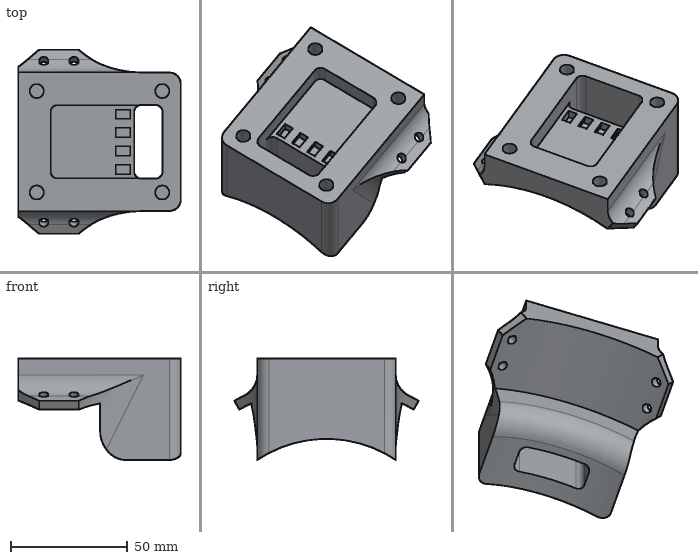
import cadquery as cq
import math

length = 70.0
body_width = 59.6
overall_width = 79.25
half_body = body_width / 2
corner_radius = 5.0

axis_z = -88.1
leg_seat_radius = 53.5
saddle_radius = 76.0
flange_radius = 80.35
flange_angle = math.asin(overall_width / 2 / flange_radius)
flange_fillet = 10.0

leg_front_x = 35.2
leg_front_fillet = 11.1
leg_half_sweep = 40.0

blend_radius = 25.0
blend_start_x = 53.8
blend_slope = math.radians(26.5)

chamfer_length = 9.0
chamfer_start_y = 31.8

flange_hole_diameter = 4.0
flange_hole_xs = (11.0, 24.0)
flange_hole_y = 34.7

pocket_front_x = 13.95
pocket_rear_x = 62.05
pocket_width = 31.55
pocket_depth = 9.0
pocket_corner_radius = 3.0
slot_front_x = 49.9
opening_length = 6.2
opening_width = 4.0
opening_center_x = 45.0
opening_pitch = 7.9
opening_count = 4
tunnel_roof_depth = 2.0
tunnel_floor_depth = 4.0

top_hole_diameter = 6.0
top_hole_xs = (8.0, 62.0)
top_hole_y = 21.8
top_hole_depth = 10.0

overshoot = 118.9
sides = (-1, 1)


def on_circle(radius, angle):
    """Point (y, z) on a circle about the seat axis, angle measured from +Z toward +Y."""
    return radius * math.sin(angle), axis_z + radius * math.cos(angle)


fillet_center_y = half_body + flange_fillet
fillet_center_z = axis_z + math.sqrt((flange_radius + flange_fillet) ** 2 - fillet_center_y**2)


def make_saddle_and_flanges():
    """Y-Z section of the deck with both flanges, extruded along X."""
    contact_angle = math.asin(fillet_center_y / (flange_radius + flange_fillet))
    contact = on_circle(flange_radius, contact_angle)
    mid_turn = (math.pi / 2 - contact_angle) / 2
    fillet_mid = (
        fillet_center_y - flange_fillet * math.cos(mid_turn),
        fillet_center_z - flange_fillet * math.sin(mid_turn),
    )
    outer_mid = on_circle(flange_radius, (contact_angle + flange_angle) / 2)
    tip_top = on_circle(flange_radius, flange_angle)
    tip_bottom = on_circle(saddle_radius, flange_angle)
    saddle_top = on_circle(saddle_radius, 0)

    def mirror(point):
        return -point[0], point[1]

    return (
        cq.Workplane("YZ")
        .moveTo(-half_body, 0)
        .lineTo(half_body, 0)
        .lineTo(half_body, fillet_center_z)
        .threePointArc(fillet_mid, contact)
        .threePointArc(outer_mid, tip_top)
        .lineTo(*tip_bottom)
        .threePointArc(saddle_top, mirror(tip_bottom))
        .lineTo(*mirror(tip_top))
        .threePointArc(mirror(outer_mid), mirror(contact))
        .threePointArc(mirror(fillet_mid), (-half_body, fillet_center_z))
        .close()
        .extrude(length)
    )


def make_leg():
    """Leg section revolved about the seat axis, wide enough to reach past the body sides."""
    top_radius = (saddle_radius + flange_radius) / 2
    plane = cq.Plane(origin=(0, 0, axis_z), xDir=(1, 0, 0), normal=(0, -1, 0))
    arc_center_x = leg_front_x + leg_front_fillet
    arc_center_r = leg_seat_radius + leg_front_fillet
    arc_reach = leg_front_fillet * math.sqrt(0.5)
    sweep = 2 * leg_half_sweep
    return (
        cq.Workplane(plane)
        .moveTo(leg_front_x, top_radius)
        .lineTo(leg_front_x, arc_center_r)
        .threePointArc(
            (arc_center_x - arc_reach, arc_center_r - arc_reach),
            (arc_center_x, leg_seat_radius),
        )
        .lineTo(length, leg_seat_radius)
        .lineTo(length, top_radius)
        .close()
        .revolve(sweep, (0, 0, 0), (1, 0, 0))
        .rotate((0, 0, axis_z), (1, 0, axis_z), -leg_half_sweep)
    )


def make_blend_cutter(side):
    """Space outside the body side and the concave blend, swept along the sloping blend axis."""
    plane = cq.Plane(
        origin=(blend_start_x, side * half_body, fillet_center_z),
        xDir=(-math.cos(blend_slope), 0, math.sin(blend_slope)),
        normal=(side * math.sin(blend_slope), 0, side * math.cos(blend_slope)),
    )
    reach = blend_radius * math.sqrt(0.5)
    return (
        cq.Workplane(plane)
        .moveTo(-overshoot, 0)
        .lineTo(0, 0)
        .threePointArc((reach, reach - blend_radius), (blend_radius, -blend_radius))
        .lineTo(-overshoot, -blend_radius)
        .close()
        .extrude(overshoot, both=True)
    )


def flange_plane(side, y):
    """Plane facing out along the flange tilt, placed on the flange outer surface at the given y."""
    z = axis_z + math.sqrt(flange_radius**2 - y**2)
    return cq.Plane(
        origin=(0, side * y, z),
        xDir=(1, 0, 0),
        normal=(0, side * math.sin(flange_angle), math.cos(flange_angle)),
    )


def make_chamfer_cutter(side):
    """Prism that removes the front corner of a flange."""
    tip_y, tip_z = on_circle(flange_radius, flange_angle)
    start_z = axis_z + math.sqrt(flange_radius**2 - chamfer_start_y**2)
    rise = (tip_y - chamfer_start_y) * math.cos(flange_angle) - (tip_z - start_z) * math.sin(flange_angle)
    return (
        cq.Workplane(flange_plane(side, chamfer_start_y))
        .polyline([(0, 0), (2 * chamfer_length, side * 2 * rise), (0, side * 2 * rise)])
        .close()
        .extrude(2 * (flange_radius - saddle_radius), both=True)
    )


def make_flange_holes(side):
    return (
        cq.Workplane(flange_plane(side, flange_hole_y))
        .pushPoints([(x, 0) for x in flange_hole_xs])
        .circle(flange_hole_diameter / 2)
        .extrude(2 * (flange_radius - saddle_radius), both=True)
    )


def make_rounded_opening(front_x, depth):
    """Rounded rectangular opening from the top, ending at the rear wall of the pocket."""
    return (
        cq.Workplane("XY")
        .center((front_x + pocket_rear_x) / 2, 0)
        .rect(pocket_rear_x - front_x, pocket_width)
        .extrude(-depth)
        .edges("|Z")
        .fillet(pocket_corner_radius)
    )


def make_floor_tunnel():
    """Flat tunnel under the pocket floor with a row of rectangular openings above it."""
    tunnel_width = (opening_count - 1) * opening_pitch + opening_width
    openings = (
        cq.Workplane("XY", origin=(opening_center_x, 0, -pocket_depth))
        .rarray(0.8, opening_pitch, 1, opening_count)
        .rect(opening_length, opening_width)
        .extrude(-tunnel_floor_depth)
    )
    tunnel = (
        cq.Workplane("XY", origin=(opening_center_x, 0, -pocket_depth - tunnel_roof_depth))
        .rect(opening_length, tunnel_width)
        .extrude(tunnel_roof_depth - tunnel_floor_depth)
    )
    return openings.union(tunnel)


def make_top_holes():
    return (
        cq.Workplane("XY")
        .pushPoints([(x, side * top_hole_y) for x in top_hole_xs for side in sides])
        .circle(top_hole_diameter / 2)
        .extrude(-top_hole_depth)
    )


result = make_saddle_and_flanges().union(make_leg())
for side in sides:
    result = result.cut(make_blend_cutter(side))
result = result.edges("|Z and >X").fillet(corner_radius)
for side in sides:
    result = result.cut(make_chamfer_cutter(side)).cut(make_flange_holes(side))
result = result.cut(make_rounded_opening(pocket_front_x, pocket_depth))
result = result.cut(make_rounded_opening(slot_front_x, overshoot))
result = result.cut(make_floor_tunnel()).cut(make_top_holes())